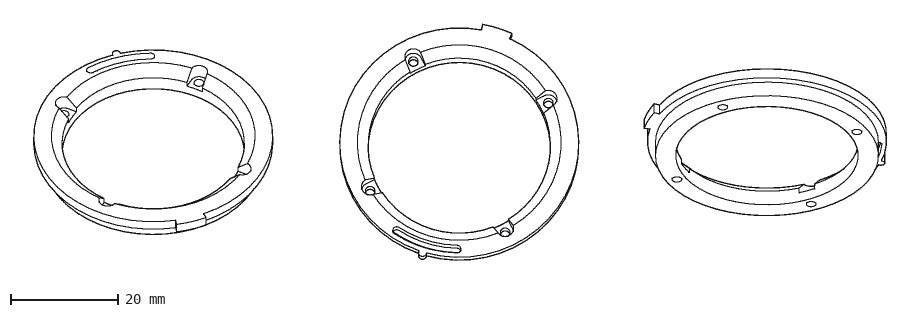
import cadquery as cq
import math

flange_diameter = 44.6
spigot_diameter = 41.6
bore_diameter = 34.0
total_height = 5.0
flange_thickness = 2.0
flange_bottom = total_height - flange_thickness

mouth_diameter = 38.0
mouth_depth = 2.0

screw_count = 4
screw_circle_radius = 18.7
screw_hole_diameter = 1.8
seat_width = 3.2
seat_depth = 3.0
seat_floor = total_height - seat_depth

slot_radius = 20.7
slot_width = 1.5
slot_half_angle = 16.5
slot_angle = 135.0
pin_radius_position = 22.45
pin_diameter = 1.5

tab_angle = slot_angle + 180
tab_outer_radius = 23.4
tab_half_angle = 7.1


def polar(radius, angle):
    """Point at a radius and an angle in degrees from +X."""
    return (radius * math.cos(math.radians(angle)), radius * math.sin(math.radians(angle)))


def disc(diameter, bottom, top, center=(0, 0)):
    """Upright cylinder between two heights."""
    return cq.Workplane("XY", origin=(*center, bottom)).circle(diameter / 2).extrude(top - bottom)


def bore_mouth():
    """Cone that widens the bore toward the top face."""
    mouth_bottom = total_height - mouth_depth
    profile = [
        (0, mouth_bottom),
        (bore_diameter / 2, mouth_bottom),
        (mouth_diameter / 2, total_height),
        (0, total_height),
    ]
    return cq.Workplane("XZ").polyline(profile).close().revolve(360, (0, 0), (0, 1))


def screw_seat(angle):
    """Flat-floored, round-ended seat with a screw hole through its floor."""
    center = (screw_circle_radius, 0)
    round_end = disc(seat_width, seat_floor, total_height, center)
    opening = (
        cq.Workplane("XY", origin=(0, 0, seat_floor))
        .rect(screw_circle_radius, seat_width)
        .extrude(seat_depth)
        .translate((screw_circle_radius / 2, 0, 0))
    )
    hole = disc(screw_hole_diameter, 0, total_height, center)
    return round_end.union(opening).union(hole).rotate((0, 0, 0), (0, 0, 1), angle)


def curved_slot():
    """Round-ended arc slot, as deep as the flange."""
    inner = slot_radius - slot_width / 2
    outer = slot_radius + slot_width / 2
    start = slot_angle - slot_half_angle
    end = slot_angle + slot_half_angle
    cap_angle = math.degrees(slot_width / 2 / slot_radius)
    return (
        cq.Workplane("XY", origin=(0, 0, flange_bottom))
        .moveTo(*polar(inner, start))
        .threePointArc(polar(inner, slot_angle), polar(inner, end))
        .threePointArc(polar(slot_radius, end + cap_angle), polar(outer, end))
        .threePointArc(polar(outer, slot_angle), polar(outer, start))
        .threePointArc(polar(slot_radius, start - cap_angle), polar(inner, start))
        .close()
        .extrude(flange_thickness)
    )


def key_tab():
    """Sector with radial sides and a rounded outer face, as thick as the flange."""
    start = tab_angle - tab_half_angle
    end = tab_angle + tab_half_angle
    root_radius = spigot_diameter / 2
    return (
        cq.Workplane("XY", origin=(0, 0, flange_bottom))
        .moveTo(*polar(root_radius, start))
        .lineTo(*polar(tab_outer_radius, start))
        .threePointArc(polar(tab_outer_radius, tab_angle), polar(tab_outer_radius, end))
        .lineTo(*polar(root_radius, end))
        .close()
        .extrude(flange_thickness)
    )


flange = disc(flange_diameter, flange_bottom, total_height)
spigot = disc(spigot_diameter, 0, flange_bottom)
pin = disc(pin_diameter, flange_bottom, total_height, polar(pin_radius_position, slot_angle))

result = spigot.union(flange).union(pin).union(key_tab())
result = result.cut(disc(bore_diameter, 0, total_height)).cut(bore_mouth()).cut(curved_slot())
for index in range(screw_count):
    result = result.cut(screw_seat(index * 360 / screw_count))